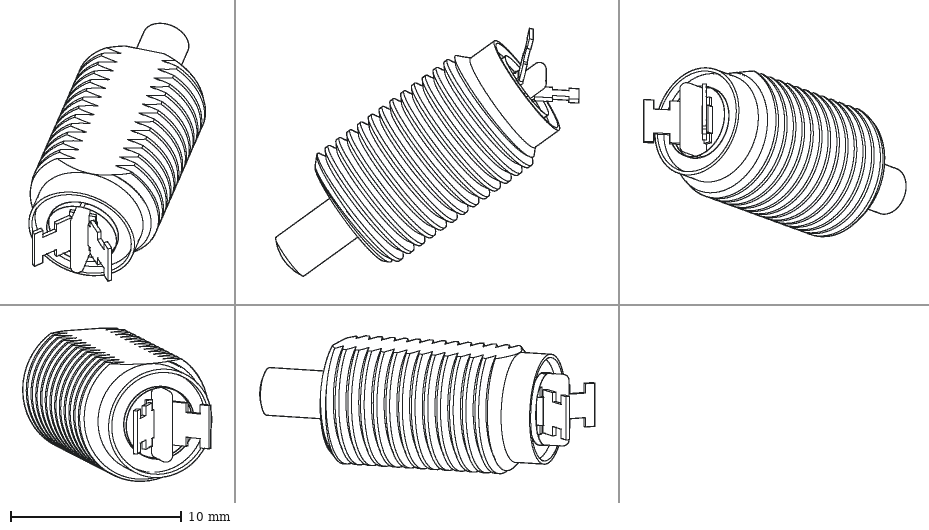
import cadquery as cq
import math


thread_diameter = 7.92
thread_radius = thread_diameter / 2
thread_root_radius = 3.48
thread_run = 9.47
thread_run_turns = 12
thread_pitch = thread_run / thread_run_turns
thread_flank_angle = 30.0
thread_phase = 150.0
overall_height = 7.2
flat_height = overall_height - thread_radius
collar_radius = 3.24
collar_length = 1.77
front_y = 12.93
front_face_radius = 3.45

plunger_radius = 1.41
plunger_tip_y = 17.72
plunger_dome_height = 0.38

insulator_radius = 3.04
insulator_edge_round = 0.3
insulator_recess = 0.4
insulator_inner_y = collar_length
cup_radius = 2.15
cup_wall = 0.02
divider_width = 0.8
divider_rear_y = -1.31
divider_round = 0.38
foot_width = 1.59
foot_height = 2.78
foot_thickness = 0.2
keeper_width = 1.7
keeper_height = 1.67

contact_thickness = 0.24
contact_bend_angle = 40.0
contact_end_y = -2.15
contact_tip_x = 2.25
contact_blade_length = 2.62
contact_end_length = 0.6
contact_notch_length = 0.95
contact_width = 2.58
contact_neck_width = 1.47
contact_root_width = 1.67
contact_root_inner_y = 1.2


def cylinder(radius, start_y, end_y):
    """Cylinder along Y between two stations."""
    return cq.Workplane("XZ", origin=(0, start_y, 0)).circle(radius).extrude(start_y - end_y)


def box_on_axis(width, height, start_y, end_y):
    """Box centred on the Y axis, width along X and height along Z."""
    return cq.Workplane("XZ", origin=(0, start_y, 0)).rect(width, height).extrude(start_y - end_y)


def revolve_about_y(profile):
    """Turn a closed (radius, y) profile drawn in the XY plane about the Y axis."""
    return profile.close().revolve(360, (0, 0, 0), (0, 1, 0))


def make_thread_groove():
    """Helical V groove that runs out through the chamfers at both ends."""
    overshoot = 0.05
    depth = thread_radius - thread_root_radius + overshoot
    half_mouth = depth * math.tan(math.radians(thread_flank_angle))
    start_y = collar_length - thread_pitch
    turns = math.ceil((front_y - start_y) / thread_pitch) + 1
    path = cq.Wire.makeHelix(thread_pitch, turns * thread_pitch, thread_root_radius)
    profile = (
        cq.Workplane("XZ")
        .moveTo(thread_root_radius, 0)
        .lineTo(thread_root_radius + depth, half_mouth)
        .lineTo(thread_root_radius + depth, -half_mouth)
        .close()
    )
    groove = profile.sweep(cq.Workplane(obj=path), isFrenet=True)
    return (
        groove.rotate((0, 0, 0), (0, 0, 1), thread_phase)
        .rotate((0, 0, 0), (1, 0, 0), -90)
        .translate((0, start_y, 0))
    )


def make_outer_envelope():
    """Collar and chamfer cones, left oversize where the thread crest sets the outline."""
    oversize = 0.2
    envelope_radius = thread_radius + oversize
    return revolve_about_y(
        cq.Workplane("XY")
        .moveTo(0, 0)
        .lineTo(collar_radius, 0)
        .lineTo(collar_radius, collar_length)
        .lineTo(envelope_radius, collar_length + envelope_radius - collar_radius)
        .lineTo(envelope_radius, front_y - (envelope_radius - front_face_radius))
        .lineTo(front_face_radius, front_y)
        .lineTo(0, front_y)
    )


def make_housing():
    rod = cylinder(thread_radius, -2 * thread_pitch, front_y + 4 * thread_pitch)
    threaded = rod.cut(make_thread_groove()).intersect(make_outer_envelope())
    above_flat = (
        cq.Workplane("XY", origin=(0, 0, flat_height))
        .rect(4 * thread_radius, 4 * front_y)
        .extrude(thread_radius)
    )
    return (
        threaded.cut(above_flat)
        .cut(cylinder(insulator_radius, 0, insulator_inner_y))
        .cut(cylinder(plunger_radius, insulator_inner_y, front_y))
    )


def make_plunger():
    dome_y = plunger_tip_y - plunger_dome_height
    dome_radius = (plunger_radius**2 + plunger_dome_height**2) / (2 * plunger_dome_height)
    half_angle = math.asin(plunger_radius / dome_radius) / 2
    dome_middle = (
        dome_radius * math.sin(half_angle),
        plunger_tip_y - dome_radius * (1 - math.cos(half_angle)),
    )
    return revolve_about_y(
        cq.Workplane("XY")
        .moveTo(0, insulator_inner_y)
        .lineTo(plunger_radius, insulator_inner_y)
        .lineTo(plunger_radius, dome_y)
        .threePointArc(dome_middle, (0, plunger_tip_y))
    )


def make_contact(side):
    """One bent contact; side is +1 for the +X contact and -1 for the -X one."""
    bend = math.radians(contact_bend_angle)
    along = (math.sin(bend), -math.cos(bend))
    across = (math.cos(bend), math.sin(bend))

    def on_blade(distance, offset):
        """Point at a distance back from the free end, offset through the thickness."""
        return (
            contact_tip_x - distance * along[0] + offset * across[0],
            contact_end_y - distance * along[1] + offset * across[1],
        )

    def blade_piece(near, far, width):
        corners = [on_blade(near, 0), on_blade(far, 0)]
        corners += [on_blade(far, contact_thickness), on_blade(near, contact_thickness)]
        return cq.Workplane("XY").polyline(corners).close().extrude(width / 2, both=True)

    notch_end = contact_end_length + contact_notch_length
    blade = blade_piece(0, contact_end_length, contact_width)
    blade = blade.union(blade_piece(contact_end_length, notch_end, contact_neck_width))
    blade = blade.union(blade_piece(notch_end, contact_blade_length, contact_width))

    root_x = divider_width / 2
    root_outline = [
        (root_x, contact_root_inner_y),
        (root_x + contact_thickness, contact_root_inner_y),
        on_blade(contact_blade_length, contact_thickness),
        on_blade(contact_blade_length, 0),
        (root_x, 0),
    ]
    root = cq.Workplane("XY").polyline(root_outline).close().extrude(contact_root_width / 2, both=True)
    contact = blade.union(root)
    return contact if side > 0 else contact.mirror("YZ")


def make_insulator(contacts):
    body = cylinder(insulator_radius, insulator_recess, insulator_inner_y)
    body = body.faces("<Y").edges().fillet(insulator_edge_round)
    cup = cylinder(cup_radius, 0, insulator_recess)
    cup = cup.cut(cylinder(cup_radius - cup_wall, 0, insulator_recess))

    divider = box_on_axis(divider_width, 2 * cup_radius - cup_wall, divider_rear_y, insulator_recess)
    divider = divider.edges("|Y or <Y").fillet(divider_round)
    foot_rear_y = insulator_recess - foot_thickness
    foot = box_on_axis(foot_width, foot_height, foot_rear_y, insulator_recess)
    keeper = box_on_axis(keeper_width, keeper_height, 0, insulator_recess)
    insulator = body.union(cup).union(divider).union(foot).union(keeper)
    for contact in contacts:
        insulator = insulator.cut(contact)
    return insulator


housing = make_housing()
plunger = make_plunger()
contacts = [make_contact(side) for side in (-1, 1)]
insulator = make_insulator(contacts)

result = cq.Compound.makeCompound(
    [housing.val(), plunger.val(), insulator.val(), *[contact.val() for contact in contacts]]
)